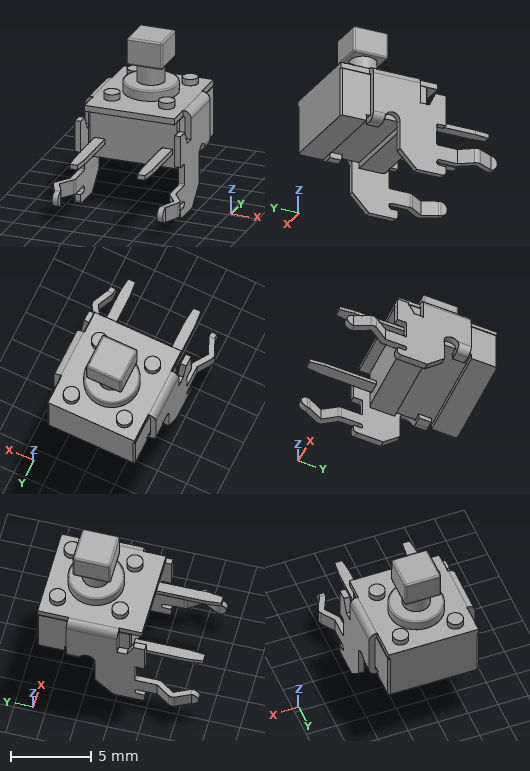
import cadquery as cq
import math


BODY_X = 6.07
BODY_Y = 6.02
BODY_Z = 3.28
BODY_CORNER_X = 0.14
BODY_CORNER_Y = 0.09
CHANNEL_Y = 2.5

SHEET = 0.4
BEND_INNER = 0.1
BEND_OUTER = BEND_INNER + SHEET
PLATE_X = 6.0
PLATE_FRONT = -3.71
PLATE_BACK = BODY_Y / 2
COVER_TOP = BODY_Z + SHEET
WALL_OUTER = 3.53
WALL_INNER = WALL_OUTER - SHEET
WALL_BACK = 1.02
STRAP_FRONT = -2.25

NOTCH_FLOOR = 1.8
NOTCH_FRONT = -2.86
EAR_BACK = -3.29
EAR_TOP = 2.69
EAR_BOTTOM = 0.59
LEG_FRONT = -4.02
LEG_BOTTOM = -2.9
LEG_BEVEL_Y = 1.17
LEG_BEVEL_Z = 1.19
TOE_RADIUS = 0.24
RECESS_Y = -3.39
RECESS_CORNER = 0.09
ARM_TOP = -0.86
ARM_HEIGHT = 1.01
ARM_BOTTOM = ARM_TOP - ARM_HEIGHT
SLOT_HEIGHT = 0.39

RELIEF_RADIUS = 0.5
RELIEF_Y = -0.32
RELIEF_Z = 0.21
TAB_REACH = 1.0
TAB_INNER = WALL_OUTER - TAB_REACH
LEG_BACK = RELIEF_Y - RELIEF_RADIUS

OVERALL_Y = 10.52
TIP_Y = PLATE_BACK - OVERALL_Y
ARM_ROOT_BEND = (WALL_OUTER, -4.82)
ARM_PEAK_OUTER = 4.2
ARM_PEAK_BEND = (ARM_PEAK_OUTER - SHEET, -5.92)
ARM_TIP_BEND = (3.69, -7.07)

CAP_SIDE = 2.41
CAP_BOTTOM = 5.7
CAP_TOP = 7.5
CAP_ROUND = 0.12
STEM_DIAMETER = 1.76
COLLAR_DIAMETER = 3.51
COLLAR_TOP = 4.39
COLLAR_ROUND = 0.09
PEG_DIAMETER = 1.01
PEG_TOP = 4.1
PEG_X = 1.83
PEG_Y = 2.01

PIN_X = 2.25
PIN_WIDTH = 0.72
PIN_TIP_WIDTH = 0.52
PIN_TAPER_Y = -6.51
PIN_BOTTOM = 0.97
PIN_THICKNESS = 0.33


def box(x_range, y_range, z_range):
    """Axis-aligned block between the given limits."""
    size = [high - low for low, high in (x_range, y_range, z_range)]
    corner = (x_range[0], y_range[0], z_range[0])
    return cq.Workplane("XY").box(*size, centered=False).translate(corner)


def cylinder(diameter, bottom, top, x=0.0, y=0.0):
    """Upright cylinder between two heights."""
    plane = cq.Workplane("XY", origin=(x, y, bottom))
    return plane.circle(diameter / 2).extrude(top - bottom)


def mirrored(shape):
    """The shape together with its mirror image across the YZ plane."""
    return shape.union(shape.mirror("YZ"))


def make_body():
    half_x = BODY_X / 2
    half_y = BODY_Y / 2
    flat_x = half_x - BODY_CORNER_X
    flat_y = half_y - BODY_CORNER_Y
    outline = [
        (flat_x, half_y), (half_x, flat_y), (half_x, -flat_y), (flat_x, -half_y),
        (-flat_x, -half_y), (-half_x, -flat_y), (-half_x, flat_y), (-flat_x, half_y),
    ]
    body = cq.Workplane("XY").polyline(outline).close().extrude(BODY_Z)
    channel = box((-half_x, half_x), (-CHANNEL_Y / 2, CHANNEL_Y / 2), (0, SHEET))
    return body.cut(channel)


def make_plate():
    return box((-PLATE_X / 2, PLATE_X / 2), (PLATE_FRONT, PLATE_BACK), (BODY_Z, COVER_TOP))


def make_strap():
    """Cover strip with both side walls bent down from it, as far as the floor of the wall notch."""
    y_range = (STRAP_FRONT, WALL_BACK)
    outer = box((-WALL_OUTER, WALL_OUTER), y_range, (NOTCH_FLOOR, COVER_TOP))
    inner = box((-WALL_INNER, WALL_INNER), y_range, (NOTCH_FLOOR, BODY_Z))
    outer = outer.edges("|Y and >Z").fillet(BEND_OUTER)
    inner = inner.edges("|Y and >Z").fillet(BEND_INNER)
    return outer.cut(inner)


def make_wall():
    """Flat part of the +X side wall below the notch, with its ear and leg."""
    slot_radius = SLOT_HEIGHT / 2
    slot_end = RECESS_Y - slot_radius
    slot_bottom = ARM_BOTTOM - SLOT_HEIGHT
    wall = (
        cq.Workplane("YZ", origin=(WALL_INNER, 0, 0))
        .moveTo(WALL_BACK, NOTCH_FLOOR)
        .lineTo(NOTCH_FRONT, NOTCH_FLOOR)
        .lineTo(EAR_BACK, EAR_TOP)
        .lineTo(LEG_FRONT, EAR_TOP)
        .lineTo(LEG_FRONT, EAR_BOTTOM)
        .lineTo(RECESS_Y, EAR_BOTTOM)
        .lineTo(RECESS_Y, ARM_TOP)
        .lineTo(LEG_FRONT, ARM_TOP)
        .lineTo(LEG_FRONT, ARM_BOTTOM)
        .lineTo(slot_end, ARM_BOTTOM)
        .threePointArc((RECESS_Y, ARM_BOTTOM - slot_radius), (slot_end, slot_bottom))
        .lineTo(LEG_FRONT, slot_bottom)
        .lineTo(LEG_FRONT, LEG_BOTTOM)
        .lineTo(LEG_BACK - LEG_BEVEL_Y, LEG_BOTTOM)
        .lineTo(LEG_BACK, LEG_BOTTOM + LEG_BEVEL_Z)
        .lineTo(LEG_BACK, RELIEF_Z)
        .lineTo(RELIEF_Y, RELIEF_Z)
        .lineTo(RELIEF_Y, BEND_OUTER)
        .lineTo(WALL_BACK, BEND_OUTER)
        .close()
        .extrude(SHEET)
    )
    rounded_corners = (
        (RECESS_Y, EAR_BOTTOM, RECESS_CORNER),
        (RECESS_Y, ARM_TOP, RECESS_CORNER),
        (LEG_FRONT, LEG_BOTTOM, TOE_RADIUS),
    )
    for y, z, radius in rounded_corners:
        corner = cq.selectors.NearestToPointSelector((WALL_INNER + SHEET / 2, y, z))
        wall = wall.edges("|X").edges(corner).fillet(radius)
    return wall


def make_tab():
    """Lower end of the +X side wall, folded inwards into the channel under the body."""
    y_range = (RELIEF_Y, WALL_BACK)
    tab_top = BEND_OUTER + SHEET
    outer = box((TAB_INNER, WALL_OUTER), y_range, (0, tab_top))
    inner = box((TAB_INNER, WALL_INNER), y_range, (SHEET, tab_top))
    outer = outer.edges("|Y and >X and <Z").fillet(BEND_OUTER)
    inner = inner.edges("|Y and >X and <Z").fillet(BEND_INNER)
    return outer.cut(inner)


def make_relief():
    """Round-topped slot that frees the folded tab from the leg."""
    return (
        cq.Workplane("YZ", origin=(TAB_INNER, 0, 0))
        .moveTo(LEG_BACK, 0)
        .lineTo(LEG_BACK, RELIEF_Z)
        .threePointArc((RELIEF_Y, RELIEF_Z + RELIEF_RADIUS), (RELIEF_Y + RELIEF_RADIUS, RELIEF_Z))
        .lineTo(RELIEF_Y + RELIEF_RADIUS, 0)
        .close()
        .extrude(TAB_REACH)
    )


def lean_angle(start, end, side):
    """Lean from -Y of a strip touching one bend corner per face; side is the sign of the lean."""
    dx = end[0] - start[0]
    dy = start[1] - end[1]
    return math.atan2(dx, dy) + side * math.asin(SHEET / math.hypot(dx, dy))


def around(corner, angle, side):
    """Point one sheet thickness from a bend corner, square to a strip leaning by the angle."""
    return (
        corner[0] + side * SHEET * math.cos(angle),
        corner[1] + side * SHEET * math.sin(angle),
    )


def make_arm():
    """Kinked spring arm on the +X side, with a rounded tip."""
    out_angle = lean_angle(ARM_ROOT_BEND, ARM_PEAK_BEND, 1)
    in_angle = lean_angle(ARM_PEAK_BEND, ARM_TIP_BEND, -1)
    strip = (
        cq.Workplane("XY", origin=(0, 0, ARM_BOTTOM))
        .moveTo(WALL_OUTER, RECESS_Y)
        .lineTo(*ARM_ROOT_BEND)
        .lineTo(*around(ARM_PEAK_BEND, out_angle, 1))
        .threePointArc(around(ARM_PEAK_BEND, 0, 1), around(ARM_PEAK_BEND, in_angle, 1))
        .lineTo(*ARM_TIP_BEND)
        .lineTo(ARM_TIP_BEND[0], TIP_Y)
        .lineTo(ARM_TIP_BEND[0] - SHEET, TIP_Y)
        .lineTo(*around(ARM_TIP_BEND, 0, -1))
        .threePointArc(around(ARM_TIP_BEND, in_angle / 2, -1), around(ARM_TIP_BEND, in_angle, -1))
        .lineTo(*ARM_PEAK_BEND)
        .lineTo(*around(ARM_ROOT_BEND, out_angle, -1))
        .threePointArc(around(ARM_ROOT_BEND, out_angle / 2, -1), around(ARM_ROOT_BEND, 0, -1))
        .lineTo(WALL_INNER, RECESS_Y)
        .close()
        .extrude(ARM_HEIGHT)
    )
    tip_radius = ARM_HEIGHT / 2
    side_profile = (
        cq.Workplane("YZ")
        .moveTo(RECESS_Y, ARM_TOP)
        .lineTo(TIP_Y + tip_radius, ARM_TOP)
        .threePointArc((TIP_Y, ARM_TOP - tip_radius), (TIP_Y + tip_radius, ARM_BOTTOM))
        .lineTo(RECESS_Y, ARM_BOTTOM)
        .close()
        .extrude(ARM_PEAK_OUTER)
    )
    return strip.intersect(side_profile)


def make_pin():
    half = PIN_WIDTH / 2
    half_tip = PIN_TIP_WIDTH / 2
    root_y = -BODY_Y / 2
    outline = [
        (-half, root_y), (half, root_y), (half, PIN_TAPER_Y),
        (half_tip, TIP_Y), (-half_tip, TIP_Y), (-half, PIN_TAPER_Y),
    ]
    plane = cq.Workplane("XY", origin=(PIN_X, 0, PIN_BOTTOM))
    return plane.polyline(outline).close().extrude(PIN_THICKNESS)


def make_plunger():
    half = CAP_SIDE / 2
    cap = box((-half, half), (-half, half), (CAP_BOTTOM, CAP_TOP)).edges().fillet(CAP_ROUND)
    collar = cylinder(COLLAR_DIAMETER, COVER_TOP, COLLAR_TOP).edges(">Z").fillet(COLLAR_ROUND)
    stem = cylinder(STEM_DIAMETER, COLLAR_TOP, CAP_BOTTOM)
    return collar.union(stem).union(cap)


side_parts = make_wall().union(make_tab()).cut(make_relief()).union(make_arm())

result = make_body().union(make_plate()).union(make_strap())
result = result.union(mirrored(side_parts)).union(mirrored(make_pin())).union(make_plunger())
for peg_x in (-PEG_X, PEG_X):
    for peg_y in (-PEG_Y, PEG_Y):
        result = result.union(cylinder(PEG_DIAMETER, COVER_TOP, PEG_TOP, peg_x, peg_y))